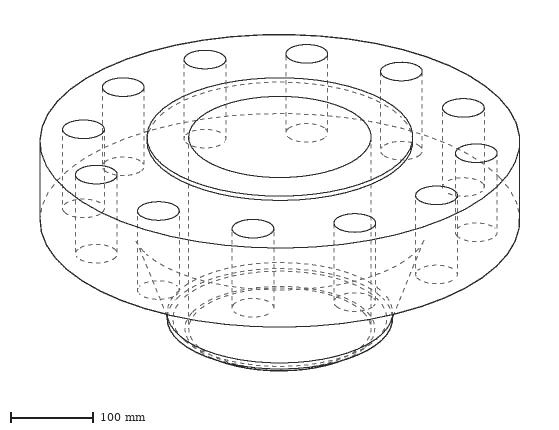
import cadquery as cq

total_height = 260.5
flange_diameter = 584.0
flange_thickness = 107.5
face_diameter = 323.5
face_height = 6.0
bore_diameter = 222.0

hub_base_diameter = 364.5
hub_end_diameter = 274.5
hub_fillet = 17.5
bevel_height = 13.5
bevel_end_diameter = 231.5
bevel_start_diameter = 260.5
land_height = 8.0

bolt_count = 12
bolt_circle_diameter = 482.5
bolt_hole_diameter = 51.0

flange_top = total_height - face_height
flange_bottom = flange_top - flange_thickness
edge_tolerance = 0.5
taper_start = bevel_height + land_height


def make_body():
    """Revolve the solid flange and hub, then round the hub root."""
    profile = (
        cq.Workplane("XZ")
        .lineTo(bevel_end_diameter / 2, 0)
        .lineTo(bevel_start_diameter / 2, bevel_height)
        .lineTo(hub_end_diameter / 2, bevel_height)
        .lineTo(hub_end_diameter / 2, taper_start)
        .lineTo(hub_base_diameter / 2, flange_bottom)
        .lineTo(flange_diameter / 2, flange_bottom)
        .lineTo(flange_diameter / 2, flange_top)
        .lineTo(face_diameter / 2, flange_top)
        .lineTo(face_diameter / 2, total_height)
        .lineTo(0, total_height)
        .close()
    )
    body = profile.revolve(360, (0, 0), (0, 1))
    on_flange_back = cq.selectors.BoxSelector(
        (-flange_diameter, -flange_diameter, flange_bottom - edge_tolerance),
        (flange_diameter, flange_diameter, flange_bottom + edge_tolerance),
    )
    back_circles = body.edges("%CIRCLE").edges(on_flange_back)
    return back_circles.edges(cq.selectors.RadiusNthSelector(0)).fillet(hub_fillet)


def make_bolt_holes():
    """Return the ring of bolt hole cutters, with one hole on the X axis."""
    return (
        cq.Workplane("XY")
        .workplane(offset=flange_bottom)
        .polarArray(bolt_circle_diameter / 2, 0, 360, bolt_count)
        .circle(bolt_hole_diameter / 2)
        .extrude(flange_thickness)
    )


bore = cq.Workplane("XY").circle(bore_diameter / 2).extrude(total_height)
result = make_body().cut(bore).cut(make_bolt_holes())